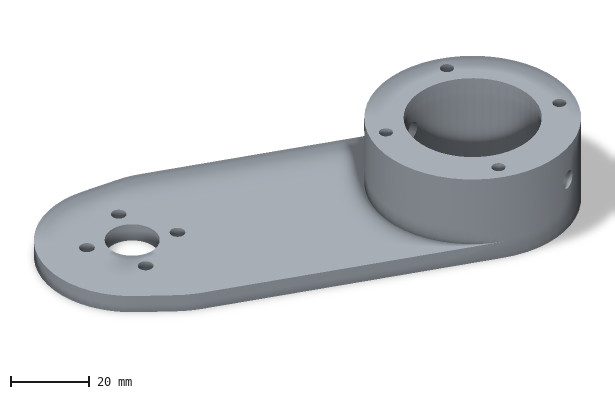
import cadquery as cq
import math

total_length = 142.5
total_height = 25.0
ring_diameter = 55.0
ring_radius = ring_diameter / 2
ring_bore_diameter = 35.0
plate_thickness = 5.0

ring_hole_diameter = 3.5
ring_hole_circle_radius = 23.0

cross_hole_diameter = 5.0
cross_hole_height = (plate_thickness + total_height) / 2
cross_hole_angle = 45

end_radius = 25.0
end_center_y = ring_radius + end_radius - total_length
end_bore_diameter = 14.0
end_hole_diameter = 4.0
end_hole_circle_radius = 12.0
hole_count = 4

shoulder_offset = 10.4
shoulder_center_y = end_center_y + shoulder_offset
taper_angle = math.asin((ring_radius - end_radius) / shoulder_offset)


def arc_point(center_y, radius, angle):
    """Point on an arc centred on the Y axis, at an angle (radians) below the +X direction."""
    return (radius * math.cos(angle), center_y - radius * math.sin(angle))


def mirrored(point):
    return (-point[0], point[1])


def four_holes(center_y, circle_radius, diameter):
    """Vertical cutters equally spaced around a centre on the Y axis."""
    return (
        cq.Workplane("XY", origin=(0, center_y, 0))
        .polarArray(circle_radius, 0, 360, hole_count)
        .circle(diameter / 2)
        .extrude(total_height)
    )


def bore(center_y, diameter):
    return cq.Workplane("XY", origin=(0, center_y, 0)).circle(diameter / 2).extrude(total_height)


def make_plate():
    """Flat arm from the ring diameter, whose straight sides taper tangentially into the rounded end."""
    shoulder_mid = arc_point(shoulder_center_y, ring_radius, taper_angle / 2)
    shoulder_end = arc_point(shoulder_center_y, ring_radius, taper_angle)
    taper_end = arc_point(end_center_y, end_radius, taper_angle)
    return (
        cq.Workplane("XY")
        .moveTo(-ring_radius, 0)
        .lineTo(ring_radius, 0)
        .lineTo(ring_radius, shoulder_center_y)
        .threePointArc(shoulder_mid, shoulder_end)
        .lineTo(*taper_end)
        .threePointArc((0, end_center_y - end_radius), mirrored(taper_end))
        .lineTo(*mirrored(shoulder_end))
        .threePointArc(mirrored(shoulder_mid), (-ring_radius, shoulder_center_y))
        .close()
        .extrude(plate_thickness)
    )


def make_cross_hole():
    """Horizontal cutter through both walls of the ring."""
    return (
        cq.Workplane("YZ")
        .center(0, cross_hole_height)
        .circle(cross_hole_diameter / 2)
        .extrude(ring_diameter, both=True)
        .rotate((0, 0, 0), (0, 0, 1), cross_hole_angle)
    )


ring = cq.Workplane("XY").circle(ring_radius).extrude(total_height)

result = (
    make_plate()
    .union(ring)
    .cut(bore(0, ring_bore_diameter))
    .cut(bore(end_center_y, end_bore_diameter))
    .cut(four_holes(0, ring_hole_circle_radius, ring_hole_diameter))
    .cut(four_holes(end_center_y, end_hole_circle_radius, end_hole_diameter))
    .cut(make_cross_hole())
)